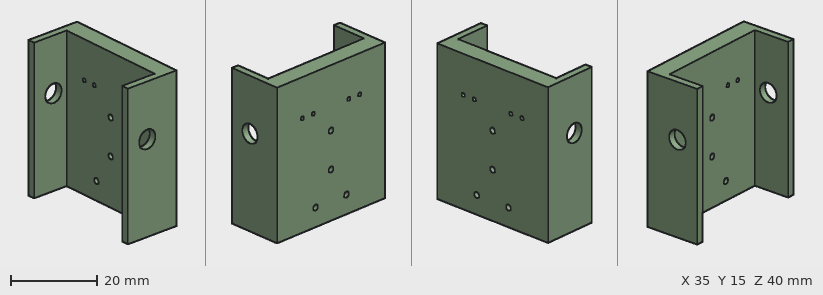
import cadquery as cq

width = 35.0
depth = 15.0
height = 40.0
back_thickness = 5.0
wall_thickness = 2.0

pin_diameter = 1.0
pin_pair_offset = 7.5
pin_pair_spacing = 3.5
pin_z = 9.4
screw_diameter = 1.5
upper_screw_z = 3.2
screw_spacing = 10.0
lower_screw_z = -14.9

side_hole_diameter = 5.0
side_hole_y = -1.5
side_hole_z = 5.1

channel_depth = depth - back_thickness
inner_width = width - 2 * wall_thickness
back_face_y = depth / 2

body = cq.Workplane("XY").box(width, depth, height)
channel = (
    cq.Workplane("XY")
    .box(inner_width, channel_depth, height)
    .translate((0, (channel_depth - depth) / 2, 0))
)
body = body.cut(channel)


def back_holes(points, diameter):
    """Cylinders that pass through the back plate at (x, z) points."""
    return (
        cq.Workplane("XZ", origin=(0, back_face_y, 0))
        .pushPoints(points)
        .circle(diameter / 2)
        .extrude(back_thickness)
    )


side_hole = (
    cq.Workplane("YZ", origin=(-width / 2, side_hole_y, side_hole_z))
    .circle(side_hole_diameter / 2)
    .extrude(width)
)

pin_points = [
    (side * pin_pair_offset + end * pin_pair_spacing / 2, pin_z)
    for side in (-1, 1)
    for end in (-1, 1)
]
screw_points = [
    (0, upper_screw_z),
    (0, upper_screw_z - screw_spacing),
    (-screw_spacing / 2, lower_screw_z),
    (screw_spacing / 2, lower_screw_z),
]

result = (
    body.cut(back_holes(pin_points, pin_diameter))
    .cut(back_holes(screw_points, screw_diameter))
    .cut(side_hole)
)